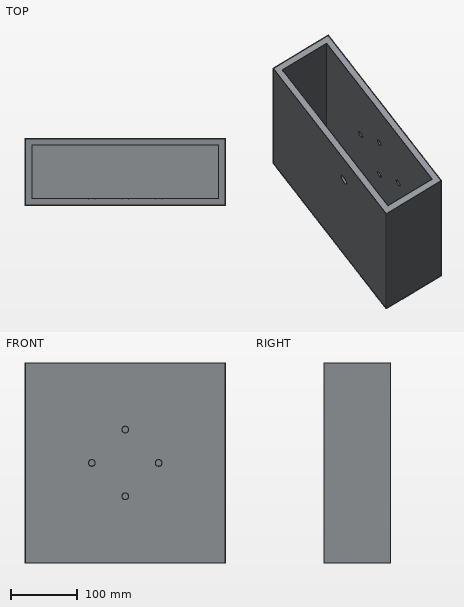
import cadquery as cq

WIDTH = 300.0
DEPTH = 100.0
HEIGHT = 300.0
WALL = 10.0

FRONT_HOLE_DIAMETER = 10.0
FRONT_HOLE_OFFSET = 50.0

REAR_HOLE_DIAMETER = 15.0
REAR_HOLE_X = -37.5
REAR_HOLE_Z = 85.0


def open_box():
    """Rectangular box with equal walls and floor, open at the top."""
    return cq.Workplane("XY").box(WIDTH, DEPTH, HEIGHT).faces(">Z").shell(-WALL)


def wall_hole(x, z, diameter, wall_start_y):
    """Cutter along Y that passes through one wall starting at wall_start_y."""
    start = cq.Vector(x, wall_start_y, z)
    along_y = cq.Vector(0, 1, 0)
    return cq.Workplane(cq.Solid.makeCylinder(diameter / 2, WALL, start, along_y))


def cut_front_holes(body):
    """Cut the cross of four holes, centred on the front wall."""
    front_start_y = -DEPTH / 2
    for side in (-1, 1):
        offset = side * FRONT_HOLE_OFFSET
        for x, z in ((offset, 0), (0, offset)):
            body = body.cut(wall_hole(x, z, FRONT_HOLE_DIAMETER, front_start_y))
    return body


def cut_rear_hole(body):
    """Cut the single off-centre hole through the rear wall."""
    rear_start_y = DEPTH / 2 - WALL
    return body.cut(wall_hole(REAR_HOLE_X, REAR_HOLE_Z, REAR_HOLE_DIAMETER, rear_start_y))


result = open_box()
result = cut_front_holes(result)
result = cut_rear_hole(result)